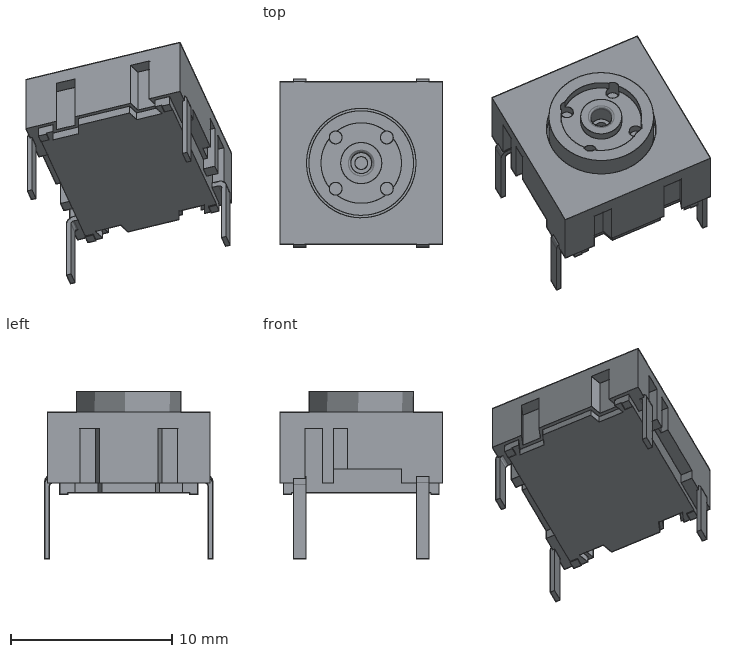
import cadquery as cq
import math

side = 10.1
half = side / 2
housing_height = 3.4
cover_top = 4.4
button_top = 5.7

button_dia = 6.5
button_gap_dia = 6.8
button_gap_depth = 0.8
recess_dia = 5.0
recess_depth = 0.6
boss_dia = 2.55
bore_dia = 1.3
bore_mouth_dia = 1.6
bore_depth = 1.3
small_hole_dia = 0.8
small_hole_depth = 0.6
small_hole_spacing = 3.18

groove_inner_y = 1.82
groove_outer_y = 3.03
groove_depth = 0.69
cut_overrun = 0.1
groove_shift = 0.24

wall_y = 4.3
shallow_floor_y = 4.57
corner_block_x = -3.5
rib_x_min = -2.4
rib_x_max = -1.74
panel_x_min = -0.87
notch_x_max = 2.49
notch_height = 0.88

base_inset = 0.21
base_height = 0.61
foot_size = 0.52
foot_height = 0.09

pin_x = 3.82
pin_width = 0.8
pin_thickness = 0.3
pin_outer_y = 5.23
pin_bottom = -4.7
bend_outer_radius = 0.5
bend_inner_radius = 0.2
lead_top_low = 0.41
lead_top_high = 0.54
lead_height = 0.41


def block(x_min, x_max, y_min, y_max, z_min, z_max):
    size = (x_max - x_min, y_max - y_min, z_max - z_min)
    return cq.Workplane("XY").box(*size, centered=False).translate((x_min, y_min, z_min))


def cylinder(diameter, z_min, z_max):
    return cq.Workplane("XY").workplane(offset=z_min).circle(diameter / 2).extrude(z_max - z_min)


def with_mirror(shape, plane):
    return shape.union(shape.mirror(plane))


def side_grooves(inset, z_min, z_max):
    """Four slanted grooves, widened and deepened all round by the inset."""
    slope = groove_shift / groove_depth
    widening = inset * math.hypot(1, slope)
    floor_x = -half + groove_depth + inset
    mouth_x = -half - cut_overrun
    mouth_shift = slope * (mouth_x + half)
    floor_shift = slope * (floor_x + half)
    inner_y = groove_inner_y - widening
    outer_y = groove_outer_y + widening
    groove = (
        cq.Workplane("XY").workplane(offset=z_min)
        .polyline([
            (mouth_x, inner_y + mouth_shift),
            (floor_x, inner_y + floor_shift),
            (floor_x, outer_y + floor_shift),
            (mouth_x, outer_y + mouth_shift),
        ])
        .close()
        .extrude(z_max - z_min)
    )
    return with_mirror(with_mirror(groove, "XZ"), "YZ")


def make_housing():
    housing = block(-half, half, -half, half, 0, housing_height)
    side_cuts = (
        block(corner_block_x, rib_x_min, -half, -wall_y, 0, housing_height)
        .union(block(rib_x_max, notch_x_max, -half, -wall_y, 0, notch_height))
        .union(block(rib_x_max, panel_x_min, -half, -shallow_floor_y, 0, housing_height))
    )
    housing = housing.cut(with_mirror(side_cuts, "XZ"))
    return housing.cut(side_grooves(0, 0, housing_height))


def make_base():
    base_x = half - base_inset
    base = block(-base_x, base_x, -wall_y, wall_y, -base_height, 0)
    base = base.cut(side_grooves(base_inset, -base_height, 0))
    foot = (
        cq.Workplane("XY")
        .box(foot_size, foot_size, foot_height, centered=False)
        .translate((-base_x, -wall_y, -base_height - foot_height))
    )
    return base.union(with_mirror(with_mirror(foot, "XZ"), "YZ"))


def make_cover():
    cover = block(-half, half, -half, half, housing_height, cover_top)
    return cover.cut(cylinder(button_gap_dia, cover_top - button_gap_depth, cover_top))


def make_button():
    recess_floor = button_top - recess_depth
    bore_floor = button_top - bore_depth
    button = cylinder(button_dia, cover_top - button_gap_depth, button_top)
    button = button.cut(cylinder(recess_dia, recess_floor, button_top))

    boss = cylinder(boss_dia, recess_floor, button_top)
    button = button.union(boss).cut(cylinder(bore_dia, bore_floor, button_top))
    mouth_edge = cq.selectors.RadiusNthSelector(0)
    button = button.faces(">Z").edges(mouth_edge).fillet((bore_mouth_dia - bore_dia) / 2)
    button = button.cut(cylinder(small_hole_dia, bore_floor - small_hole_depth, bore_floor))

    small_hole = cylinder(small_hole_dia, recess_floor - small_hole_depth, button_top)
    for x_sign in (-1, 1):
        for y_sign in (-1, 1):
            place = (x_sign * small_hole_spacing / 2, y_sign * small_hole_spacing / 2, 0)
            button = button.cut(small_hole.translate(place))
    return button


def make_pin(x_center, lead_top):
    """L-shaped pin on the -Y side: a lead out of the housing, bent down."""
    inner_y = pin_outer_y - pin_thickness
    lead_bottom = lead_top - lead_height
    pin = (
        cq.Workplane("YZ").workplane(offset=x_center - pin_width / 2)
        .moveTo(-wall_y, lead_top)
        .lineTo(-pin_outer_y + bend_outer_radius, lead_top)
        .radiusArc((-pin_outer_y, lead_top - bend_outer_radius), -bend_outer_radius)
        .lineTo(-pin_outer_y, pin_bottom)
        .lineTo(-inner_y, pin_bottom)
        .lineTo(-inner_y, lead_bottom - bend_inner_radius)
        .radiusArc((-inner_y + bend_inner_radius, lead_bottom), bend_inner_radius)
        .lineTo(-wall_y, lead_bottom)
        .close()
        .extrude(pin_width)
    )
    return with_mirror(pin, "XZ")


result = (
    make_housing()
    .union(make_base())
    .union(make_cover())
    .union(make_button())
    .union(make_pin(-pin_x, lead_top_low))
    .union(make_pin(pin_x, lead_top_high))
)